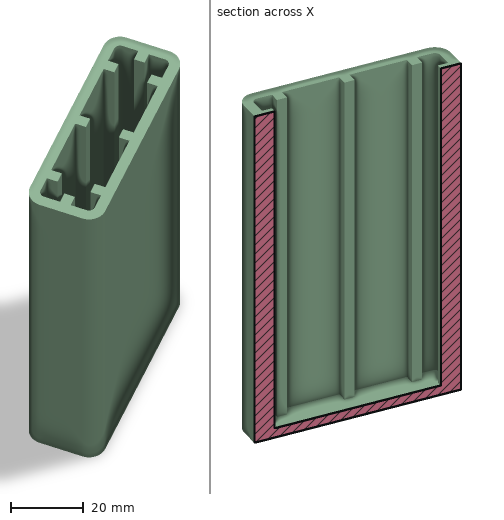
import cadquery as cq

width = 22.3
length = 63.5
height = 104.8
outer_radius = 4.8

wall = 3.1
floor = wall
inner_radius = outer_radius - wall
cavity_width = width - 2 * wall
cavity_length = length - 2 * wall
cavity_height = height - floor

rib = 3.1
rib_overlap = wall / 2
side_rib_spacing = 20.7


def rounded_block(size_x, size_y, size_z, radius, base_z):
    """Upright block with rounded vertical edges, standing on base_z."""
    block = cq.Workplane("XY").box(size_x, size_y, size_z, centered=(True, True, False))
    return block.edges("|Z").fillet(radius).translate((0, 0, base_z))


def rib_block(size_x, size_y, x, y):
    """Vertical rib standing on the cavity floor."""
    block = cq.Workplane("XY").box(size_x, size_y, cavity_height, centered=(True, True, False))
    return block.translate((x, y, floor))


body = rounded_block(width, length, height, outer_radius, 0)
cavity = rounded_block(cavity_width, cavity_length, cavity_height, inner_radius, floor)
result = body.cut(cavity)

rib_depth = rib + rib_overlap
side_rib_x = cavity_width / 2 + rib_overlap - rib_depth / 2
end_rib_y = cavity_length / 2 + rib_overlap - rib_depth / 2

for side in (-1, 1):
    for step in (-1, 0, 1):
        result = result.union(rib_block(rib_depth, rib, side * side_rib_x, step * side_rib_spacing))
    result = result.union(rib_block(rib, rib_depth, 0, side * end_rib_y))

result = result.translate((0, 0, -height / 2))